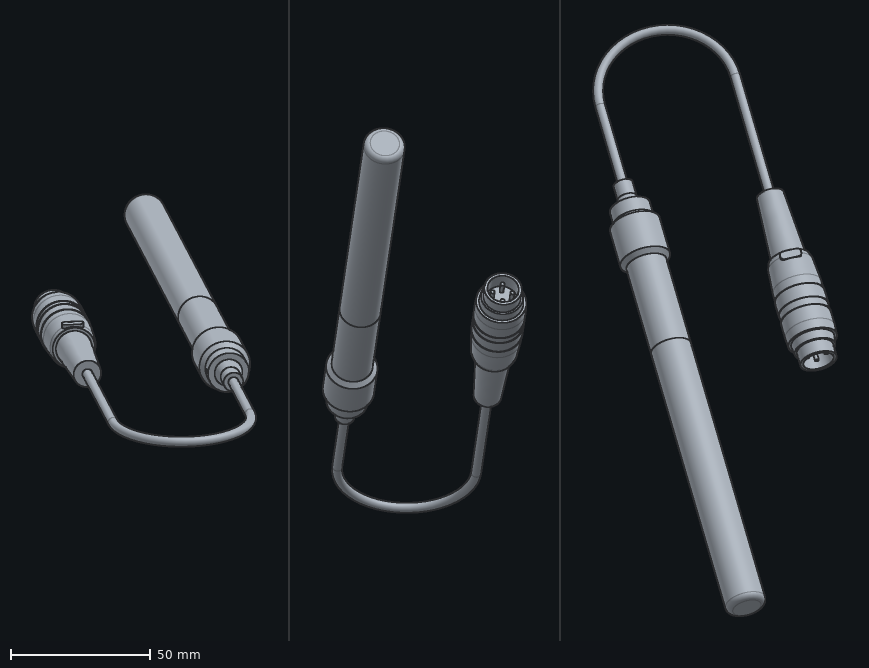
import cadquery as cq
import math

TILT = 13.17
SIN_TILT = math.sin(math.radians(TILT))
COS_TILT = math.cos(math.radians(TILT))
OVERALL_X = 229.5

PROBE_DIA = 15.0
TIP_FACE_DIA = 10.5
TIP_ROUND = (PROBE_DIA - TIP_FACE_DIA) / 2
SHAFT_END = 109.6
COLLAR_DIA = 18.5
COLLAR_START = 145.5
COLLAR_END = 164.0
COLLAR_CHAMFER = (COLLAR_DIA - PROBE_DIA) / 2
HANDLE_END = 169.5
NECK_DIA = 10.0
SLEEVE_DIA = 7.0
SLEEVE_START = 173.5
SLEEVE_END = 179.4

SCREW_HOLE_DIA = 1.5
SCREW_HOLE_DEPTH = 3.0
SCREW_HOLE_STATIONS = (142.7, 166.5)

CABLE_DIA = 3.7
BEND_RADIUS = 25.0
LEFTMOST = TIP_ROUND * COS_TILT - TIP_FACE_DIA / 2 * SIN_TILT - TIP_ROUND
BEND_CENTER_X = LEFTMOST + OVERALL_X - BEND_RADIUS - CABLE_DIA / 2
BEND_START = (BEND_CENTER_X + BEND_RADIUS * SIN_TILT) / COS_TILT

PLUG_FRONT = 91.8
NOSE_DIA = 13.5
NOSE_LENGTH = 5.0
STEP_FRONT_DIA = 15.1
STEP_BACK_DIA = 16
STEP_END = 8.5
GRIP_DIA = COLLAR_DIA
GRIP_RELIEF_DIA = 18.1
GRIP_FLARE_END = 12.5
GRIP_GROOVE_START = 18.4
GRIP_GROOVE_END = 21.5
GRIP_STEP = 27.3
GRIP_TAPER_START = 31.2
GRIP_TAPER_END = 40.5
GRIP_TAPER_END_DIA = 16.7
GRIP_END = 42.7
GRIP_END_DIA = 15.4

MARK_START = 38.8
MARK_LENGTH = 3.2
MARK_WIDTH = 7.8
MARK_CORNER = 1.4
MARK_HEIGHT = 8.7

SOCKET_DIA = 11.2
SOCKET_DEPTH = 6.9
PIN_DIA = 1.5
PIN_LENGTH = 4.5
PIN_CIRCLE_DIA = 7.0
PIN_COUNT = 4

BOOT_FRONT_DIA = 13.0
BOOT_BACK_DIA = 10.0
BOOT_END = 70.0


def turned(stations):
    """Solid of revolution about the axial direction from (axial, diameter) stations."""
    points = [(axial, dia / 2) for axial, dia in stations]
    outline = [(points[0][0], 0)] + points + [(points[-1][0], 0)]
    return cq.Workplane("XY").polyline(outline).close().revolve(360, (0, 0), (1, 0))


def rod(start, length, dia):
    return cq.Workplane("YZ").workplane(offset=start).circle(dia / 2).extrude(length)


def make_shaft():
    return rod(0, SHAFT_END, PROBE_DIA).faces("<X").edges().fillet(TIP_ROUND)


def make_handle():
    handle = turned(
        [
            (SHAFT_END, PROBE_DIA),
            (COLLAR_START, PROBE_DIA),
            (COLLAR_START + COLLAR_CHAMFER, COLLAR_DIA),
            (COLLAR_END - COLLAR_CHAMFER, COLLAR_DIA),
            (COLLAR_END, PROBE_DIA),
            (HANDLE_END, PROBE_DIA),
            (HANDLE_END, NECK_DIA),
            (SLEEVE_START, SLEEVE_DIA),
            (SLEEVE_END, SLEEVE_DIA),
        ]
    )
    for station in SCREW_HOLE_STATIONS:
        hole = (
            cq.Workplane("XZ", origin=(station, -PROBE_DIA / 2, 0))
            .circle(SCREW_HOLE_DIA / 2)
            .extrude(-SCREW_HOLE_DEPTH)
        )
        handle = handle.cut(hole)
    return handle


def make_cable():
    far_side = -2 * BEND_RADIUS
    path = (
        cq.Workplane("XY")
        .moveTo(SLEEVE_END, 0)
        .lineTo(BEND_START, 0)
        .threePointArc((BEND_START + BEND_RADIUS, -BEND_RADIUS), (BEND_START, far_side))
        .lineTo(PLUG_FRONT + BOOT_END, far_side)
    )
    return cq.Workplane("YZ", origin=(SLEEVE_END, 0, 0)).circle(CABLE_DIA / 2).sweep(path)


def make_mark():
    return (
        cq.Workplane("XY")
        .center(MARK_START + MARK_LENGTH / 2, 0)
        .rect(MARK_LENGTH, MARK_WIDTH)
        .extrude(MARK_HEIGHT)
        .edges("|Z")
        .fillet(MARK_CORNER)
    )


def make_pins():
    return (
        cq.Workplane("YZ", origin=(SOCKET_DEPTH, 0, 0))
        .polarArray(PIN_CIRCLE_DIA / 2, 0, 360, PIN_COUNT)
        .circle(PIN_DIA / 2)
        .extrude(-PIN_LENGTH)
    )


def make_plug_body():
    body = turned(
        [
            (0, NOSE_DIA),
            (NOSE_LENGTH, NOSE_DIA),
            (NOSE_LENGTH, STEP_FRONT_DIA),
            (STEP_END, STEP_BACK_DIA),
            (STEP_END, GRIP_RELIEF_DIA),
            (GRIP_FLARE_END, GRIP_DIA),
            (GRIP_GROOVE_START, GRIP_DIA),
            (GRIP_GROOVE_START, GRIP_RELIEF_DIA),
            (GRIP_GROOVE_END, GRIP_RELIEF_DIA),
            (GRIP_GROOVE_END, GRIP_DIA),
            (GRIP_STEP, GRIP_DIA),
            (GRIP_STEP, GRIP_RELIEF_DIA),
            (GRIP_TAPER_START, GRIP_RELIEF_DIA),
            (GRIP_TAPER_END, GRIP_TAPER_END_DIA),
            (GRIP_END, GRIP_END_DIA),
        ]
    )
    socket = rod(0, SOCKET_DEPTH, SOCKET_DIA)
    return body.cut(socket).union(make_pins()).union(make_mark())


def make_boot():
    return turned([(GRIP_END, BOOT_FRONT_DIA), (BOOT_END, BOOT_BACK_DIA)])


def placed(body):
    return body.rotate((0, 0, 0), (0, 0, 1), -TILT)


def on_plug_axis(body):
    return placed(body.translate((PLUG_FRONT, -2 * BEND_RADIUS, 0)))


shaft = placed(make_shaft())
handle = placed(make_handle())
cable = placed(make_cable())
plug_body = on_plug_axis(make_plug_body())
boot = on_plug_axis(make_boot())

result = cq.Compound.makeCompound(
    [shaft.val(), handle.val(), cable.val(), plug_body.val(), boot.val()]
)